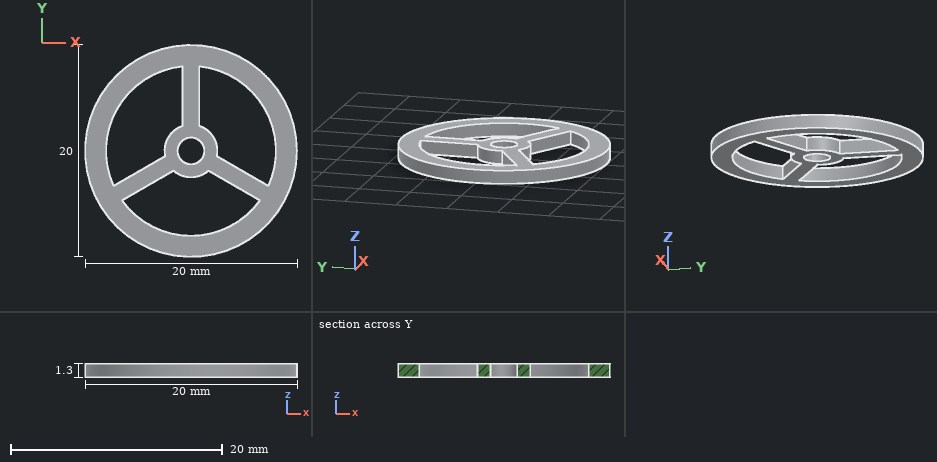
import cadquery as cq

outer_diameter = 20.0
rim_width = 2.0
hub_diameter = 5.0
bore_diameter = 2.5
spoke_width = 1.6
spoke_count = 3
thickness = 1.3

outer_radius = outer_diameter / 2
spoke_end_radius = outer_radius - rim_width / 2
bore_radius = bore_diameter / 2


def ring(outside_diameter, inside_diameter):
    """Flat ring standing on the XY plane, centred on Z."""
    return (
        cq.Workplane("XY")
        .circle(outside_diameter / 2)
        .circle(inside_diameter / 2)
        .extrude(thickness)
    )


def spoke(angle):
    """Straight bar from the hub centre into the rim, turned from +Y by angle."""
    return (
        cq.Workplane("XY")
        .rect(spoke_width, spoke_end_radius, centered=(True, False))
        .extrude(thickness)
        .rotate((0, 0, 0), (0, 0, 1), angle)
    )


wheel = ring(outer_diameter, outer_diameter - 2 * rim_width)
wheel = wheel.union(ring(hub_diameter, bore_diameter))
for index in range(spoke_count):
    wheel = wheel.union(spoke(index * 360 / spoke_count))

bore = cq.Workplane("XY").circle(bore_radius).extrude(thickness)
result = wheel.cut(bore)